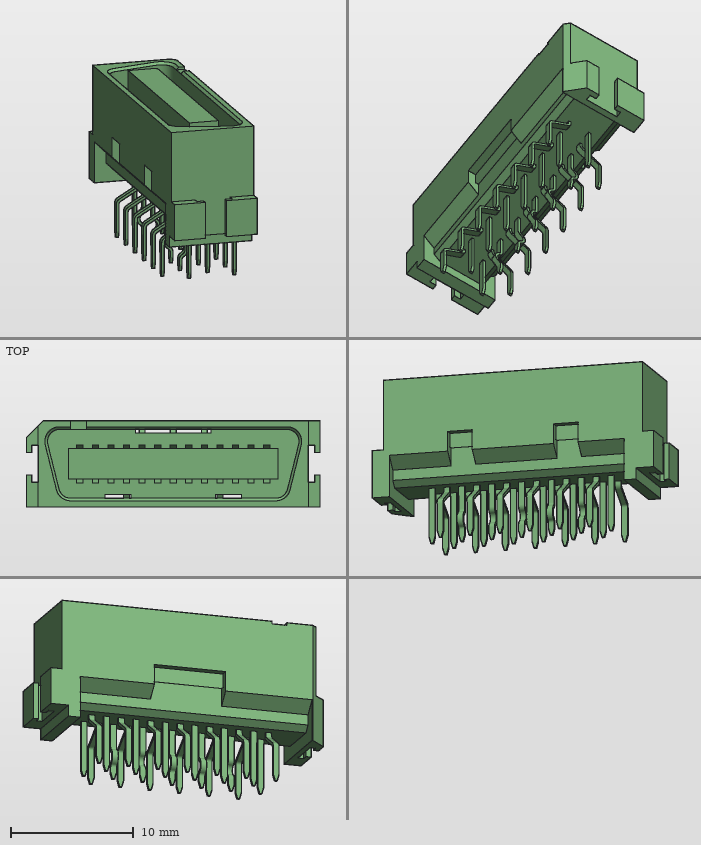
import cadquery as cq
import math

LENGTH = 23.9
DEPTH = 7.03
HEIGHT = 9.8
BODY_LENGTH = 22.0
FLOOR_BOTTOM = 1.08
CORNER_CUT = 1.39

EMBED = 0.25

CAVITY_FLOOR = 3.97
CAVITY_DEPTH = 6.03
CAVITY_BACK_LENGTH = 21.57
CAVITY_SIDE_ANGLE = 14.0
CAVITY_CORNER_RADIUS = 1.2
RIM_BEVEL = 0.22
TONGUE_LENGTH = 17.07
TONGUE_DEPTH = 2.46
KEY_NOTCH_LEFT = -8.35
KEY_NOTCH_WIDTH = 1.3
KEY_NOTCH_DROP = 0.22

EAR_TOP = CAVITY_FLOOR
EAR_LIP = 0.45
EAR_OPENING = 1.82
EAR_CHANNEL = 3.0
RIGHT_EAR_BOTTOM = 0.93
RIGHT_FOOT_LEFT = 9.45
RIGHT_FOOT_WIDTH = 1.0
LEFT_FOOT_RIGHT = -10.5

RECESS_TOP = 3.47
RECESS_DEPTH = 1.0
LEDGE_TOP = RECESS_TOP - RECESS_DEPTH
LEDGE_BOTTOM = 1.6
WINDOW_TOP = 5.12
FRONT_WINDOW_WIDTH = 2.08
FRONT_WINDOW_X = 4.5
BACK_WINDOW_WIDTH = 6.12

PIN_COUNT = 13
PITCH = 1.27
PIN_WIDTH = 0.5
PIN_THICKNESS = 0.25
INNER_ROW_Y = 0.98
OUTER_ROW_Y = 2.87
PIN_BOTTOM = -3.55
TIP_LENGTH = 0.53
TIP_WIDTH = 0.2
PIN_TOP = FLOOR_BOTTOM + EMBED
BEND_TOP = 0.6
SLOPE_ANGLE = 30.0
BEND_RADIUS = 0.38
KINK_Z = -1.72
KINK_RADIUS = 0.6
KINK_TURN = 60.0

KINK_DIRECTIONS = {2: -1, 4: 1, 6: 1, 8: -1, 10: 1}

POCKET_REACH = 0.3
POCKET_DEPTH = 0.81


def block(x_min, x_max, y_min, y_max, z_min, z_max):
    """Axis-aligned box between the given limits."""
    box = cq.Workplane("XY").box(x_max - x_min, y_max - y_min, z_max - z_min, centered=False)
    return box.translate((x_min, y_min, z_min))


def extrude_along_x(points, x_min, x_max):
    """Prism of a Y-Z outline between two X positions."""
    return cq.Workplane("YZ", origin=(x_min, 0, 0)).polyline(points).close().extrude(x_max - x_min)


def make_shell():
    """Body block with its ears and feet, before the cavity is cut."""
    half, body_half, back = LENGTH / 2, BODY_LENGTH / 2, DEPTH / 2
    shell = block(-body_half, body_half, -back, back, 0, HEIGHT)
    shell = shell.union(block(-half, half, -back, back, 0, EAR_TOP))
    for side in (-1, 1):
        opening = cq.Workplane("XY").center(side * half, 0)
        shell = shell.cut(opening.rect(2 * (half - body_half), EAR_OPENING).extrude(EAR_TOP))
        channel = cq.Workplane("XY").center(side * (half + body_half - EAR_LIP) / 2, 0)
        shell = shell.cut(channel.rect(half - body_half - EAR_LIP, EAR_CHANNEL).extrude(EAR_TOP))
    foot_right = RIGHT_FOOT_LEFT + RIGHT_FOOT_WIDTH
    shell = shell.cut(block(foot_right, half, -back, back, 0, RIGHT_EAR_BOTTOM))
    corner = [(-half, back), (-half + CORNER_CUT, back), (-half, back - CORNER_CUT)]
    return shell.cut(cq.Workplane("XY").polyline(corner).close().extrude(HEIGHT))


def make_underside():
    """Space below the floor, with sloped and stepped flanks along both long walls."""
    wall = DEPTH / 2
    ledge = wall - RECESS_DEPTH
    floor_edge = ledge - (LEDGE_BOTTOM - FLOOR_BOTTOM)
    right_half = [(wall, 0), (wall, RECESS_TOP), (ledge, LEDGE_TOP), (ledge, LEDGE_BOTTOM),
                  (floor_edge, FLOOR_BOTTOM)]
    left_half = [(-y, z) for y, z in reversed(right_half)]
    return extrude_along_x(right_half + left_half, LEFT_FOOT_RIGHT, RIGHT_FOOT_LEFT)


def make_cavity():
    """Rounded trapezoid pocket, wider at the back, with a bevelled rim."""
    back_half = CAVITY_BACK_LENGTH / 2
    front_half = back_half - CAVITY_DEPTH * math.tan(math.radians(CAVITY_SIDE_ANGLE))
    y = CAVITY_DEPTH / 2
    corners = [(-back_half, y), (back_half, y), (front_half, -y), (-front_half, -y)]
    full = cq.Workplane("XY").polyline(corners).close().extrude(HEIGHT - CAVITY_FLOOR)
    full = full.edges("|Z").fillet(CAVITY_CORNER_RADIUS).translate((0, 0, CAVITY_FLOOR))
    rim = full.faces(">Z").wires().toPending().workplane().extrude(-RIM_BEVEL, combine=False, taper=45)
    pocket = full.faces("<Z").wires().toPending().workplane().offset2D(-RIM_BEVEL)
    pocket = pocket.extrude(-(HEIGHT - CAVITY_FLOOR), combine=False)
    return pocket.union(rim)


def make_windows():
    """Openings through the long walls that run down in front of the ledges."""
    wall, ledge = DEPTH / 2, DEPTH / 2 - RECESS_DEPTH
    windows = block(-BACK_WINDOW_WIDTH / 2, BACK_WINDOW_WIDTH / 2, ledge, wall, LEDGE_TOP, WINDOW_TOP)
    for x in (-FRONT_WINDOW_X, FRONT_WINDOW_X):
        left, right = x - FRONT_WINDOW_WIDTH / 2, x + FRONT_WINDOW_WIDTH / 2
        windows = windows.union(block(left, right, -wall, -ledge, LEDGE_TOP, WINDOW_TOP))
    return windows


def make_tongue():
    return block(-TONGUE_LENGTH / 2, TONGUE_LENGTH / 2, -TONGUE_DEPTH / 2, TONGUE_DEPTH / 2,
                 CAVITY_FLOOR - EMBED, HEIGHT)


def make_key_notch():
    """Shallow notch across the rim of the back wall."""
    return block(KEY_NOTCH_LEFT, KEY_NOTCH_LEFT + KEY_NOTCH_WIDTH, CAVITY_DEPTH / 2 - RIM_BEVEL, DEPTH / 2,
                 HEIGHT - KEY_NOTCH_DROP, HEIGHT)


def make_contact_pocket(x, side):
    """Wedge-shaped pocket in the cavity floor, deepest against the tongue."""
    face = side * TONGUE_DEPTH / 2
    outline = [(face, CAVITY_FLOOR), (face + side * POCKET_REACH, CAVITY_FLOOR),
               (face, CAVITY_FLOOR - POCKET_DEPTH)]
    return extrude_along_x(outline, x - PIN_WIDTH / 2, x + PIN_WIDTH / 2)


def make_pin_blank(x):
    """X-Z silhouette of a pin with a pointed tip, as deep as the housing."""
    half, tip = PIN_WIDTH / 2, TIP_WIDTH / 2
    shoulder = PIN_BOTTOM + TIP_LENGTH
    outline = [(x - half, PIN_TOP), (x - half, shoulder), (x - tip, PIN_BOTTOM),
               (x + tip, PIN_BOTTOM), (x + half, shoulder), (x + half, PIN_TOP)]
    return cq.Workplane("XZ").polyline(outline).close().extrude(DEPTH / 2, both=True)


def make_straight_pin(x, row_y):
    """Inner-row pin running straight down."""
    strip = block(x - PIN_WIDTH / 2, x + PIN_WIDTH / 2, row_y - PIN_THICKNESS / 2, row_y + PIN_THICKNESS / 2,
                  PIN_BOTTOM, PIN_TOP)
    return strip.intersect(make_pin_blank(x))


def kink_curve(row_y, direction, offset):
    """Y-Z points along a kink from top to bottom, at an offset from the middle of the pin.

    The points are start, then middle and end of three tangent arcs: bend, bulge, bend.
    """
    turn = math.radians(KINK_TURN)
    bend, bulge = BEND_RADIUS - offset, KINK_RADIUS + offset
    half_height = (BEND_RADIUS + KINK_RADIUS) * math.sin(turn)
    bulge_centre = BEND_RADIUS - (BEND_RADIUS + KINK_RADIUS) * math.cos(turn)
    upper = [(BEND_RADIUS - bend * math.cos(angle), half_height - bend * math.sin(angle))
             for angle in (0, turn / 2, turn)]
    lower = [(y, -z) for y, z in reversed(upper)]
    points = upper + [(bulge_centre + bulge, 0)] + lower
    return [(row_y + direction * y, KINK_Z + z) for y, z in points]


def add_arcs(outline, curve):
    """Continue an outline through a curve given as start, then middle and end of each arc."""
    outline = outline.lineTo(*curve[0])
    for middle, end in zip(curve[1::2], curve[2::2]):
        outline = outline.threePointArc(middle, end)
    return outline


def make_kinked_pin(x, row_y, direction):
    """Inner-row pin that bows out toward the given Y direction."""
    half = PIN_THICKNESS / 2
    downward = kink_curve(row_y, direction, -half)
    upward = kink_curve(row_y, direction, half)[::-1]
    near_y, far_y = downward[0][0], upward[0][0]
    outline = cq.Workplane("YZ", origin=(x - PIN_WIDTH / 2, 0, 0)).moveTo(near_y, PIN_TOP)
    outline = add_arcs(outline, downward).lineTo(near_y, PIN_BOTTOM).lineTo(far_y, PIN_BOTTOM)
    outline = add_arcs(outline, upward).lineTo(far_y, PIN_TOP)
    return outline.close().extrude(PIN_WIDTH).intersect(make_pin_blank(x))


def make_bent_pin(x, side):
    """Pin that leaves at the inner row, slopes outward and drops at the outer row."""
    half = PIN_THICKNESS / 2
    bend_bottom = BEND_TOP - (OUTER_ROW_Y - INNER_ROW_Y) * math.tan(math.radians(SLOPE_ANGLE))
    turn = math.radians(90 - SLOPE_ANGLE)
    shift = half * math.tan(turn / 2)
    outline = [(INNER_ROW_Y + half, PIN_TOP), (INNER_ROW_Y + half, BEND_TOP + shift),
               (OUTER_ROW_Y + half, bend_bottom + shift), (OUTER_ROW_Y + half, PIN_BOTTOM),
               (OUTER_ROW_Y - half, PIN_BOTTOM), (OUTER_ROW_Y - half, bend_bottom - shift),
               (INNER_ROW_Y - half, BEND_TOP - shift), (INNER_ROW_Y - half, PIN_TOP)]
    pin = extrude_along_x(outline, x - PIN_WIDTH / 2, x + PIN_WIDTH / 2)
    inside_corners = [outline[1], outline[5]]
    outside_corners = [outline[2], outline[6]]
    for corners, radius in ((inside_corners, BEND_RADIUS - half), (outside_corners, BEND_RADIUS + half)):
        for y, z in corners:
            pin = pin.edges(cq.selectors.NearestToPointSelector((x, y, z))).fillet(radius)
    if side < 0:
        pin = pin.mirror("XZ")
    return pin.intersect(make_pin_blank(x))


result = make_shell().cut(make_underside()).cut(make_cavity()).cut(make_windows())
result = result.cut(make_key_notch()).union(make_tongue())

for index in range(PIN_COUNT):
    pin_x = (index - (PIN_COUNT - 1) / 2) * PITCH
    straight_side = -1 if index % 2 == 0 else 1
    inner_y = straight_side * INNER_ROW_Y
    if index in KINK_DIRECTIONS:
        result = result.union(make_kinked_pin(pin_x, inner_y, KINK_DIRECTIONS[index]))
    else:
        result = result.union(make_straight_pin(pin_x, inner_y))
    result = result.union(make_bent_pin(pin_x, -straight_side))
    for side in (-1, 1):
        result = result.cut(make_contact_pocket(pin_x, side))